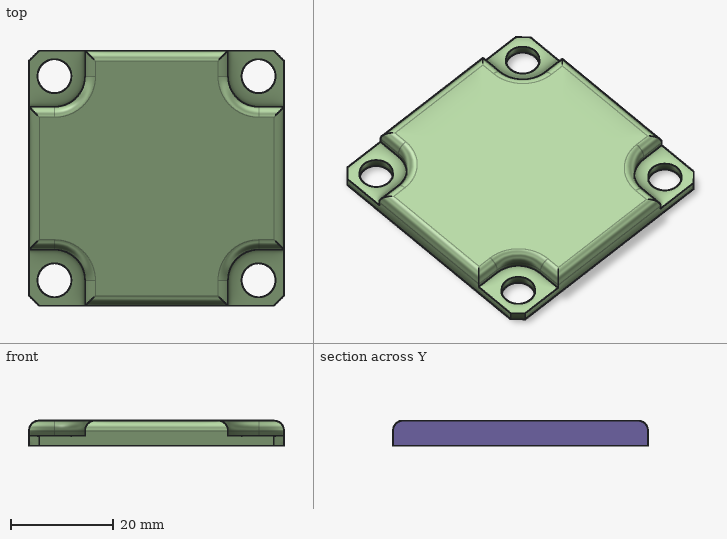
import cadquery as cq

side = 50.0
total_height = 5.0
flange_height = 2.0
corner_chamfer = 2.0

hole_diameter = 6.6
hole_offset = 20.0

recess_radius = 6.0
recess_side = side / 2 - hole_offset + recess_radius

rim_radius = 2.0

corner_signs = [(sx, sy) for sx in (-1, 1) for sy in (-1, 1)]
hole_centres = [(sx * hole_offset, sy * hole_offset) for sx, sy in corner_signs]


def make_flange():
    """Thin square base with chamfered corners."""
    flange = cq.Workplane("XY").box(side, side, flange_height, centered=(True, True, False))
    return flange.edges("|Z").chamfer(corner_chamfer)


def make_corner_recess(sign_x, sign_y):
    """Square cutter in one corner, with its inward edge rounded about the hole axis."""
    centre = side / 2 - recess_side / 2
    cutter = (
        cq.Workplane("XY")
        .center(sign_x * centre, sign_y * centre)
        .rect(recess_side, recess_side)
        .extrude(total_height)
    )
    inward_edge = cutter.edges("|Z").edges(cq.selectors.NearestToPointSelector((0, 0, total_height / 2)))
    return inward_edge.fillet(recess_radius)


def make_pad():
    """Full-height raised pad with recessed corners and a rounded top rim."""
    pad = cq.Workplane("XY").box(side, side, total_height, centered=(True, True, False))
    for sign_x, sign_y in corner_signs:
        pad = pad.cut(make_corner_recess(sign_x, sign_y))
    return pad.faces(">Z").edges().fillet(rim_radius)


def make_screw_holes():
    """Through-hole cutters for the four corners."""
    return cq.Workplane("XY").pushPoints(hole_centres).circle(hole_diameter / 2).extrude(total_height)


result = make_flange().union(make_pad()).cut(make_screw_holes())